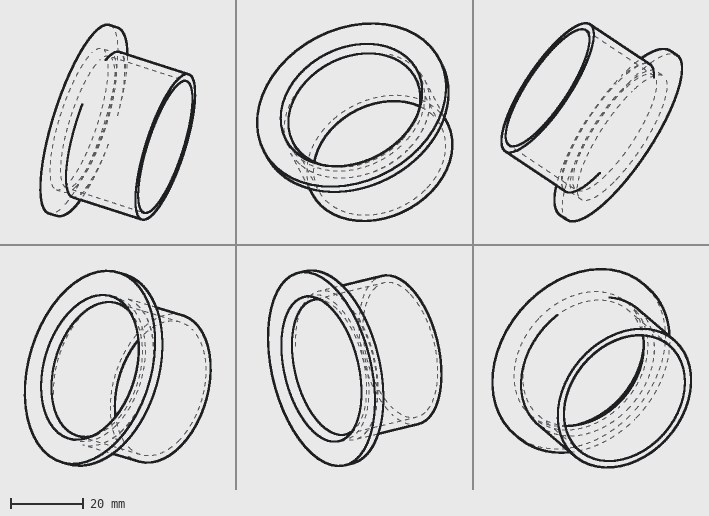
import cadquery as cq
import math

length = 26.0
flange_diameter = 55.0
tube_diameter = 42.4
tube_wall = 2.0

rim_width = 3.0
cone_angle = 15.0
rim_edge_radius = 1.0
cone_root_radius = 0.5

recess_diameter = 41.2
recess_depth = 2.6
recess_corner_radius = 0.3

flange_radius = flange_diameter / 2
tube_radius = tube_diameter / 2
bore_diameter = tube_diameter - 2 * tube_wall
cone_length = (flange_radius - tube_radius) * math.tan(math.radians(cone_angle))
cone_end = rim_width + cone_length


def circle_at(x):
    """Selector for the circular edges whose centre lies on the X axis at x."""
    reach = 0.01
    return cq.selectors.BoxSelector((x - reach, -reach, -reach), (x + reach, reach, reach))


def make_body():
    """Solid flange and tube, revolved about the X axis."""
    profile = (
        cq.Workplane("XZ")
        .moveTo(0, 0)
        .lineTo(0, flange_radius)
        .lineTo(rim_width, flange_radius)
        .lineTo(cone_end, tube_radius)
        .lineTo(length, tube_radius)
        .lineTo(length, 0)
        .close()
    )
    body = profile.revolve(360, (0, 0, 0), (1, 0, 0))
    body = body.edges("%CIRCLE").edges(circle_at(rim_width)).fillet(rim_edge_radius)
    return body.edges("%CIRCLE").edges(circle_at(cone_end)).fillet(cone_root_radius)


def make_bore():
    """Through bore of the tube."""
    return cq.Workplane("YZ").circle(bore_diameter / 2).extrude(length)


def make_recess():
    """Shallow recess in the flange face with a rounded floor corner."""
    recess = cq.Workplane("YZ").circle(recess_diameter / 2).extrude(recess_depth)
    return recess.faces(">X").edges().fillet(recess_corner_radius)


result = make_body().cut(make_bore()).cut(make_recess())